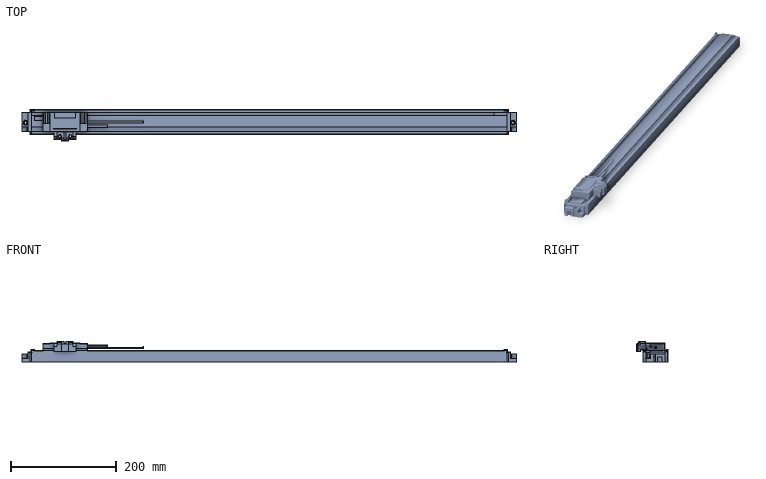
import cadquery as cq

TOTAL_LENGTH = 934.0
TOTAL_DEPTH = 59.1
TOTAL_HEIGHT = 39.3

RAIL_WIDTH = 47.4
RAIL_HEIGHT = 21.5
RAIL_INSET = 0.3
GROOVE_DEPTH = 3.0
EDGE_LIP = 5.6
FRONT_GROOVE_WIDTH = 8.4
BACK_GROOVE_WIDTH = 5.5
GROOVE_PLUG_LENGTH = 24.0
GROOVE_PLUG_SINK = 2.0
APRON_START = 24.0
APRON_FRONT = 26.5
APRON_WIDTH = 8.0
APRON_DEPTH = 1.0

CAP_START = 15.5
CAP_LENGTH = 3.0
CAP_HEIGHT = 19.0
TONGUE_LENGTH = 4.0
TAB_START = 17.5
TAB_LENGTH = 6.0
TAB_WIDTH = 2.5
TAB_HEIGHT = 24.0
BRACKET_WIDTH = RAIL_WIDTH - 2 * EDGE_LIP
BRACKET_HEIGHT = 15.5
BRACKET_STEP_HEIGHT = 7.0
BRACKET_STEP_WIDTH = 9.0
BRACKET_STEP_LENGTH = 12.0
SCREW_HEAD_DIAMETER = 6.0
SCREW_HEAD_LENGTH = 2.5
SCREW_HEAD_Y = 10.5
SCREW_HEAD_Z = 12.0
MOUNT_HOLE_X = 7.0
MOUNT_HOLE_Y = 22.4
MOUNT_HOLE_DIAMETER = 5.0
COUNTERBORE_DIAMETER = 9.0
COUNTERBORE_DEPTH = 6.0
BRACKET_SLOT_WIDTH = 2.5
BRACKET_SLOT_DEPTH = 2.5
END_POCKET_FRONT = 28.0
END_POCKET_WIDTH = 8.0
END_POCKET_HEIGHT = 10.0
END_POCKET_DEPTH = 5.0

CARRIAGE_START = 39.5
CARRIAGE_LENGTH = 84.0
CARRIAGE_TOP = 36.0
CARRIAGE_FRONT = EDGE_LIP
CARRIAGE_BACK = RAIL_WIDTH - EDGE_LIP
FOOT_HEIGHT = 4.5
FOOT_STEP = 1.5
END_BLOCK_LENGTH = 14.0
END_BLOCK_DROP = 1.0
PORT_LENGTH = 9.0
PORT_FRONT = 21.0
PORT_DEPTH = 3.0
PORT_RIDGE_LENGTH = 3.0
PORT_RIDGE_HEIGHT = 2.0
LABEL_LENGTH = 40.0
LABEL_WIDTH = 10.0
LABEL_DEPTH = 1.0
SLIT_LENGTH = 44.0
SLIT_WIDTH = 1.0
SLIT_Y = 11.0

ARM_LENGTH = 42.0
ARM_TOP_LENGTH = 30.0
ARM_SIDE_HEIGHT = 35.0
ARM_BOTTOM = 20.0
ARM_FRONT = RAIL_WIDTH - TOTAL_DEPTH
ARM_SIDE_FRONT = ARM_FRONT + 3.0
ARM_ROOT_BOTTOM = 23.0
ARM_CHAMFER = 5.5
ARM_FLAT_BACK = 5.0
ARM_BACK = 6.6
ARM_SKIRT_BACK = -4.0
ARM_LUG_LENGTH = 14.0
ARM_HOLE_SPACING = 20.0
ARM_HOLE_DIAMETER = 5.0
ARM_HOLE_Y = -3.0
ARM_NOTCH_WIDTH = 3.0
ARM_NOTCH_DEPTH = 3.0

CABLE_DIAMETER = 4.5
CABLE_LENGTH = 38.0
CABLE_Y = 15.5
CABLE_Z = 30.0
STRIP_LENGTH = 106.0
STRIP_WIDTH = 3.5
STRIP_THICKNESS = 1.2
STRIP_Y = 24.0
STRIP_Z = 26.0
STRIP_END_HEIGHT = 3.5

carriage_end = CARRIAGE_START + CARRIAGE_LENGTH
carriage_middle = CARRIAGE_START + CARRIAGE_LENGTH / 2
back_groove_start = CARRIAGE_BACK - BACK_GROOVE_WIDTH


def block(x, y, z, length, width, height):
    """A box given by its low corner and its sizes."""
    return cq.Workplane("XY").box(length, width, height, centered=False).translate((x, y, z))


def mirrored_end(solid):
    """The right-end copy of a left-end feature."""
    return solid.mirror("YZ", (TOTAL_LENGTH / 2, 0, 0))


def make_rail_profile():
    """The extrusion between the end caps, with two lengthwise grooves and a shallow apron in its top."""
    start = CAP_START + CAP_LENGTH
    length = TOTAL_LENGTH - 2 * start
    groove_floor = RAIL_HEIGHT - GROOVE_DEPTH
    profile = block(start, RAIL_INSET, 0, length, RAIL_WIDTH - 2 * RAIL_INSET, RAIL_HEIGHT)
    front_groove = block(start, EDGE_LIP, groove_floor, length, FRONT_GROOVE_WIDTH, GROOVE_DEPTH)
    back_groove = block(start, back_groove_start, groove_floor, length, BACK_GROOVE_WIDTH, GROOVE_DEPTH)
    plug = block(
        start + length - GROOVE_PLUG_LENGTH, back_groove_start, groove_floor,
        GROOVE_PLUG_LENGTH, BACK_GROOVE_WIDTH, GROOVE_DEPTH - GROOVE_PLUG_SINK,
    )
    apron = block(
        APRON_START, APRON_FRONT, RAIL_HEIGHT - APRON_DEPTH,
        CARRIAGE_START - APRON_START, APRON_WIDTH, APRON_DEPTH,
    )
    return profile.cut(front_groove).cut(back_groove).union(plug).cut(apron)


def make_end_fitting():
    """Left-end cap with its corner tab and the stepped mounting bracket."""
    cap = block(CAP_START, 0, 0, CAP_LENGTH, RAIL_WIDTH, CAP_HEIGHT)
    tongue = block(CAP_START - TONGUE_LENGTH, EDGE_LIP, 0, TONGUE_LENGTH, BRACKET_WIDTH, CAP_HEIGHT)
    tab = block(TAB_START, RAIL_WIDTH - TAB_WIDTH, 0, TAB_LENGTH, TAB_WIDTH, TAB_HEIGHT)

    bracket = block(0, EDGE_LIP, 0, CAP_START, BRACKET_WIDTH, BRACKET_HEIGHT)
    front_step = block(
        0, EDGE_LIP, BRACKET_STEP_HEIGHT,
        BRACKET_STEP_LENGTH, BRACKET_STEP_WIDTH, BRACKET_HEIGHT - BRACKET_STEP_HEIGHT,
    )
    end_slot = block(
        0, MOUNT_HOLE_Y - BRACKET_SLOT_WIDTH / 2, 0, BRACKET_SLOT_DEPTH, BRACKET_SLOT_WIDTH, BRACKET_HEIGHT
    )
    end_pocket = block(0, END_POCKET_FRONT, 0, END_POCKET_DEPTH, END_POCKET_WIDTH, END_POCKET_HEIGHT)
    bracket = bracket.cut(front_step).cut(end_slot).cut(end_pocket)
    bracket = (
        bracket.faces(">Z").workplane(origin=(MOUNT_HOLE_X, MOUNT_HOLE_Y, 0))
        .cboreHole(MOUNT_HOLE_DIAMETER, COUNTERBORE_DIAMETER, COUNTERBORE_DEPTH)
    )
    screw_head = (
        cq.Workplane("YZ").circle(SCREW_HEAD_DIAMETER / 2).extrude(SCREW_HEAD_LENGTH)
        .translate((BRACKET_STEP_LENGTH - SCREW_HEAD_LENGTH, SCREW_HEAD_Y, SCREW_HEAD_Z))
    )
    return cap.union(bracket).union(tongue.cut(front_step)).union(tab).union(screw_head)


def make_rail():
    """Rail profile with a fitting at each end."""
    left_fitting = make_end_fitting()
    return make_rail_profile().union(left_fitting).union(mirrored_end(left_fitting))


def make_carriage_block():
    """Housing on a foot set back at the front, with lower end blocks, ridged ports and surface recesses."""
    width = CARRIAGE_BACK - CARRIAGE_FRONT
    foot_top = RAIL_HEIGHT + FOOT_HEIGHT
    foot = block(
        CARRIAGE_START, CARRIAGE_FRONT + FOOT_STEP, RAIL_HEIGHT,
        CARRIAGE_LENGTH, width - FOOT_STEP, FOOT_HEIGHT,
    )
    housing = block(CARRIAGE_START, CARRIAGE_FRONT, foot_top, CARRIAGE_LENGTH, width, CARRIAGE_TOP - foot_top)

    end_top = CARRIAGE_TOP - END_BLOCK_DROP
    port_margin = (END_BLOCK_LENGTH - PORT_LENGTH) / 2
    for end_start in (CARRIAGE_START, carriage_end - END_BLOCK_LENGTH):
        drop = block(end_start, CARRIAGE_FRONT, end_top, END_BLOCK_LENGTH, width, END_BLOCK_DROP)
        port = block(
            end_start + port_margin, PORT_FRONT, end_top - PORT_DEPTH,
            PORT_LENGTH, CARRIAGE_BACK - PORT_FRONT, PORT_DEPTH,
        )
        ridge = block(
            end_start + (END_BLOCK_LENGTH - PORT_RIDGE_LENGTH) / 2, PORT_FRONT, end_top - PORT_DEPTH,
            PORT_RIDGE_LENGTH, CARRIAGE_BACK - PORT_FRONT, PORT_RIDGE_HEIGHT,
        )
        housing = housing.cut(drop).cut(port).union(ridge)

    label = block(
        carriage_middle - LABEL_LENGTH / 2, CARRIAGE_BACK - LABEL_WIDTH, CARRIAGE_TOP - LABEL_DEPTH,
        LABEL_LENGTH, LABEL_WIDTH, LABEL_DEPTH,
    )
    slit = block(
        carriage_middle - SLIT_LENGTH / 2, SLIT_Y, CARRIAGE_TOP - LABEL_DEPTH,
        SLIT_LENGTH, SLIT_WIDTH, LABEL_DEPTH,
    )
    return foot.union(housing.cut(label).cut(slit))


def arm_section(outline, length):
    """A length of the arm, centred on the carriage, from its outline in Y and Z."""
    section = cq.Workplane("YZ").polyline(outline).close().extrude(length)
    return section.translate((carriage_middle - length / 2, 0, 0))


def arm_outline(front, back, top):
    """Flat top, sloping shoulder and a skirt hanging in front of the rail."""
    return [
        (back, ARM_ROOT_BOTTOM),
        (back, top),
        (front + ARM_CHAMFER, top),
        (front, top - ARM_CHAMFER),
        (front, ARM_BOTTOM),
        (ARM_SKIRT_BACK, ARM_BOTTOM),
        (ARM_SKIRT_BACK, ARM_ROOT_BOTTOM),
    ]


def make_arm():
    """Driver arm with a raised middle, a front lug, two vertical holes and a notch in its top edge."""
    sides = arm_section(arm_outline(ARM_SIDE_FRONT, ARM_BACK, ARM_SIDE_HEIGHT), ARM_LENGTH)
    raised = arm_section(arm_outline(ARM_SIDE_FRONT, ARM_FLAT_BACK, TOTAL_HEIGHT), ARM_TOP_LENGTH)
    lug = arm_section(arm_outline(ARM_FRONT, ARM_FLAT_BACK, TOTAL_HEIGHT), ARM_LUG_LENGTH)
    arm = sides.union(raised).union(lug)
    for side in (-1, 1):
        hole = (
            cq.Workplane("XY").circle(ARM_HOLE_DIAMETER / 2).extrude(TOTAL_HEIGHT)
            .translate((carriage_middle + side * ARM_HOLE_SPACING / 2, ARM_HOLE_Y, 0))
        )
        arm = arm.cut(hole)
    notch = block(
        carriage_middle - ARM_NOTCH_WIDTH / 2, ARM_FRONT, TOTAL_HEIGHT - ARM_NOTCH_DEPTH,
        ARM_NOTCH_WIDTH, ARM_FLAT_BACK - ARM_FRONT, ARM_NOTCH_DEPTH,
    )
    return arm.cut(notch)


def make_leads():
    """Round cable and flat strip with an upturned end."""
    cable = (
        cq.Workplane("YZ").circle(CABLE_DIAMETER / 2).extrude(CABLE_LENGTH)
        .translate((carriage_end, CABLE_Y, CABLE_Z))
    )
    strip_front = STRIP_Y - STRIP_WIDTH / 2
    strip = block(carriage_end, strip_front, STRIP_Z, STRIP_LENGTH, STRIP_WIDTH, STRIP_THICKNESS)
    strip_end = block(
        carriage_end + STRIP_LENGTH - STRIP_THICKNESS, strip_front, STRIP_Z,
        STRIP_THICKNESS, STRIP_WIDTH, STRIP_END_HEIGHT,
    )
    return cable.union(strip).union(strip_end)


rail = make_rail()
carriage = make_carriage_block().union(make_arm()).union(make_leads())

result = cq.Compound.makeCompound([rail.val(), carriage.val()])